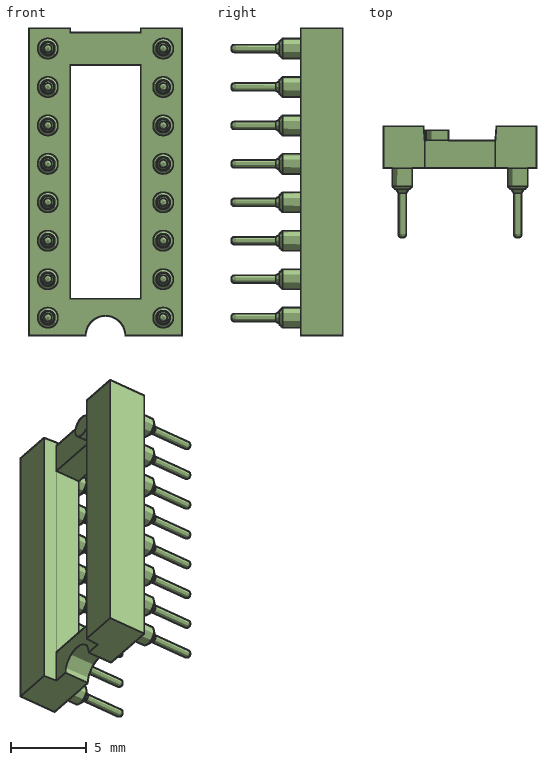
import cadquery as cq

body_width = 10.1
body_depth = 2.78
body_height = 20.3

window_width = 4.65
window_margin = 2.44

bar_recess = 0.95
bar_depth = body_depth - bar_recess
rear_gap_width = 4.8
top_notch_depth = 0.28
key_notch_radius = 1.3

boss_radius = 0.75
boss_height = 0.7
boss_x = -1.5
boss_z = 8.69

pins_per_row = 8
pin_pitch = 2.54
row_spacing = 3 * pin_pitch
pin_offset_z = -0.08

socket_radius = 0.67
socket_length = 1.2
shoulder_radius = 0.47
shoulder_length = 0.2
neck_radius = 0.4
neck_length = 0.25
pin_radius = 0.26
pin_reach = 4.59
tip_round = 0.22


def make_rear_gap():
    """Gap between the rails behind the cross bars, flaring slightly toward the rear face."""
    outline = [
        (-window_width / 2, bar_depth),
        (window_width / 2, bar_depth),
        (rear_gap_width / 2, body_depth),
        (-rear_gap_width / 2, body_depth),
    ]
    return cq.Workplane("XY").polyline(outline).close().extrude(body_height / 2, both=True)


def make_body():
    """Frame with its window, rear gap, top notch and half-round key notch."""
    body = cq.Workplane("XY").box(body_width, body_depth, body_height, centered=(True, False, True))
    window = cq.Workplane("XY").box(
        window_width, body_depth, body_height - 2 * window_margin, centered=(True, False, True)
    )
    top_notch = (
        cq.Workplane("XY", origin=(0, 0, body_height / 2 - top_notch_depth))
        .box(window_width, body_depth, top_notch_depth, centered=(True, False, False))
    )
    key_notch = (
        cq.Workplane("XZ", origin=(0, 0, -body_height / 2))
        .circle(key_notch_radius)
        .extrude(-body_depth)
    )
    return body.cut(window).cut(make_rear_gap()).cut(top_notch).cut(key_notch)


def make_boss():
    """Cylinder standing on the rear face of the top bar."""
    return (
        cq.Workplane("XZ", origin=(boss_x, bar_depth, boss_z))
        .circle(boss_radius)
        .extrude(-boss_height)
    )


def make_pin():
    """Turned pin along -Y: socket barrel, tapered shoulder and neck, round-ended shank."""
    shoulder_end = socket_length + shoulder_length
    neck_end = shoulder_end + neck_length
    tip_start = pin_reach - tip_round
    tip_flat_radius = pin_radius - tip_round
    return (
        cq.Workplane("XY")
        .moveTo(0, 0)
        .lineTo(socket_radius, 0)
        .lineTo(socket_radius, -socket_length)
        .lineTo(shoulder_radius, -shoulder_end)
        .lineTo(neck_radius, -shoulder_end)
        .lineTo(pin_radius, -neck_end)
        .lineTo(pin_radius, -tip_start)
        .radiusArc((tip_flat_radius, -pin_reach), tip_round)
        .lineTo(0, -pin_reach)
        .close()
        .revolve(360, (0, 0, 0), (0, 1, 0))
    )


result = make_body().union(make_boss())

pin = make_pin()
lowest_pin_z = pin_offset_z - (pins_per_row - 1) * pin_pitch / 2
for row_x in (-row_spacing / 2, row_spacing / 2):
    for index in range(pins_per_row):
        pin_z = lowest_pin_z + index * pin_pitch
        result = result.union(pin.translate((row_x, 0, pin_z)))